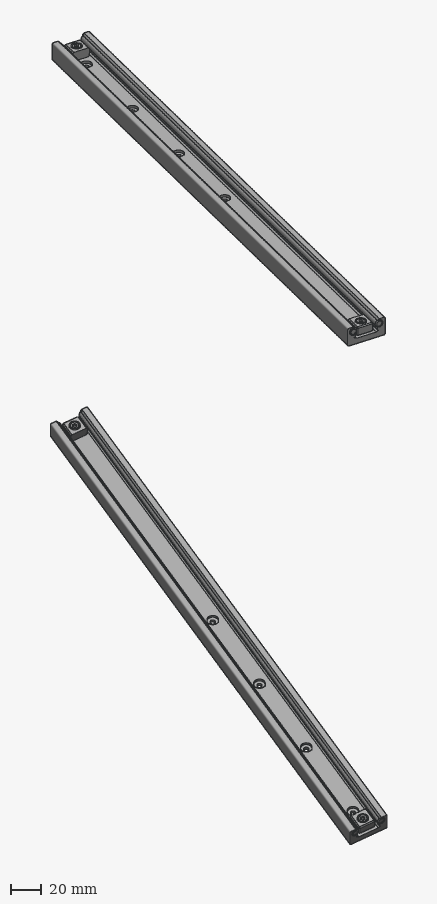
import cadquery as cq

LENGTH = 385.0
WIDTH = 28.0
HEIGHT = 14.0
OUTER_RADIUS = 1.0
MOUTH_WIDTH = 17.0
LIP_CHAMFER = 1.0
FLOOR_HEIGHT = 4.2
FLOOR_WIDTH = 14.5
CHANNEL_WIDTH = 17.7
NECK_WIDTH = 16.0
NECK_HEIGHT = 5.8
CHANNEL_SLOPE_HEIGHT = 0.8

ROD_DIAMETER = 5.5
ROD_CHAMFER = 0.8
ROD_SPACING = 19.2
ROD_HEIGHT = 10.0

HOLE_COUNT = 4
HOLE_PITCH = 60.0
FIRST_HOLE = 20.0
HOLE_DIAMETER = 3.5
COUNTERBORE_DIAMETER = 7.7
COUNTERBORE_DEPTH = 2.0

STOP_LENGTH = 11.5
STOP_WIDTH = 12.5
STOP_TOP = 11.0
STOP_CHAMFER = 0.8
STOP_INSET = 1.5

HEAD_DIAMETER = 5.5
HEAD_HEIGHT = 3.0
HEAD_POCKET_DIAMETER = 7.5
SHANK_DIAMETER = 3.0
SHANK_END = 2.0
SOCKET_SIDES = 6
SOCKET_WIDTH = 2.7
SOCKET_DEPTH = 1.5
SOCKET_TIP_DEPTH = 0.8
SOCKET_TIP_TAPER = 50

STOP_HEIGHT = STOP_TOP - FLOOR_HEIGHT
HEAD_SEAT = STOP_TOP - HEAD_HEIGHT
STOP_OFFSET = LENGTH / 2 - STOP_INSET - STOP_LENGTH / 2
STOP_POSITIONS = [-STOP_OFFSET, STOP_OFFSET]
ROD_POSITIONS = [-ROD_SPACING / 2, ROD_SPACING / 2]


def rod_bore(y):
    """Round bore along the whole housing."""
    return (
        cq.Workplane("YZ", origin=(-LENGTH / 2, y, ROD_HEIGHT))
        .circle(ROD_DIAMETER / 2)
        .extrude(LENGTH)
    )


def rod(y):
    """Rod that fills its bore, with chamfered ends."""
    return rod_bore(y).faces("<X or >X").chamfer(ROD_CHAMFER)


def upright_cylinder(x, bottom, top, diameter):
    """Vertical cylinder on the housing centre line."""
    return cq.Workplane("XY", origin=(x, 0, bottom)).circle(diameter / 2).extrude(top - bottom)


def channel():
    """Open channel: flared at the floor, narrowed below the rods, with bevelled lips above them."""
    slope_top = FLOOR_HEIGHT + CHANNEL_SLOPE_HEIGHT
    lip_edge = HEIGHT - LIP_CHAMFER
    right_side = [
        (FLOOR_WIDTH / 2, FLOOR_HEIGHT),
        (CHANNEL_WIDTH / 2, slope_top),
        (NECK_WIDTH / 2, NECK_HEIGHT),
        (NECK_WIDTH / 2, ROD_HEIGHT),
        (MOUTH_WIDTH / 2, ROD_HEIGHT),
        (MOUTH_WIDTH / 2, lip_edge),
        (MOUTH_WIDTH / 2 + LIP_CHAMFER, HEIGHT),
    ]
    left_side = [(-y, z) for y, z in reversed(right_side)]
    return (
        cq.Workplane("YZ", origin=(-LENGTH / 2, 0, 0))
        .polyline(right_side + left_side)
        .close()
        .extrude(LENGTH)
    )


def make_housing():
    """Profiled rail with rod bores, counterbored mounting holes and stop screw holes."""
    body = (
        cq.Workplane("XY")
        .box(LENGTH, WIDTH, HEIGHT, centered=(True, True, False))
        .edges("|X")
        .fillet(OUTER_RADIUS)
        .cut(channel())
    )
    for y in ROD_POSITIONS:
        body = body.cut(rod_bore(y))
    counterbore_seat = FLOOR_HEIGHT - COUNTERBORE_DEPTH
    for index in range(HOLE_COUNT):
        x = -LENGTH / 2 + FIRST_HOLE + index * HOLE_PITCH
        body = body.cut(upright_cylinder(x, 0, FLOOR_HEIGHT, HOLE_DIAMETER))
        body = body.cut(upright_cylinder(x, counterbore_seat, FLOOR_HEIGHT, COUNTERBORE_DIAMETER))
    for x in STOP_POSITIONS:
        body = body.cut(upright_cylinder(x, SHANK_END, FLOOR_HEIGHT, SHANK_DIAMETER))
    return body


def end_stop(x):
    """Block with a counterbored screw hole; the end facing out of the housing is chamfered."""
    outer_face = "<X" if x < 0 else ">X"
    block = (
        cq.Workplane("XY", origin=(x, 0, FLOOR_HEIGHT))
        .box(STOP_LENGTH, STOP_WIDTH, STOP_HEIGHT, centered=(True, True, False))
        .edges("|X")
        .chamfer(STOP_CHAMFER)
        .faces(outer_face)
        .chamfer(STOP_CHAMFER)
    )
    block = block.cut(upright_cylinder(x, FLOOR_HEIGHT, STOP_TOP, SHANK_DIAMETER))
    return block.cut(upright_cylinder(x, HEAD_SEAT, STOP_TOP, HEAD_POCKET_DIAMETER))


def stop_screw(x):
    """Cap screw with a hexagon socket that ends in a tapered tip."""
    shank = upright_cylinder(x, SHANK_END, HEAD_SEAT, SHANK_DIAMETER)
    head = upright_cylinder(x, HEAD_SEAT, STOP_TOP, HEAD_DIAMETER)
    socket = (
        cq.Workplane("XY", origin=(x, 0, STOP_TOP - SOCKET_DEPTH))
        .polygon(SOCKET_SIDES, SOCKET_WIDTH, circumscribed=True)
        .extrude(SOCKET_DEPTH)
    )
    socket_tip = (
        cq.Workplane("XY", origin=(x, 0, STOP_TOP - SOCKET_DEPTH))
        .circle(SOCKET_WIDTH / 2)
        .extrude(-SOCKET_TIP_DEPTH, taper=SOCKET_TIP_TAPER)
    )
    return shank.union(head).cut(socket).cut(socket_tip)


housing = make_housing()
rods = [rod(y).val() for y in ROD_POSITIONS]
end_stops = [end_stop(x).val() for x in STOP_POSITIONS]
stop_screws = [stop_screw(x).val() for x in STOP_POSITIONS]

result = cq.Compound.makeCompound([housing.val(), *rods, *end_stops, *stop_screws])